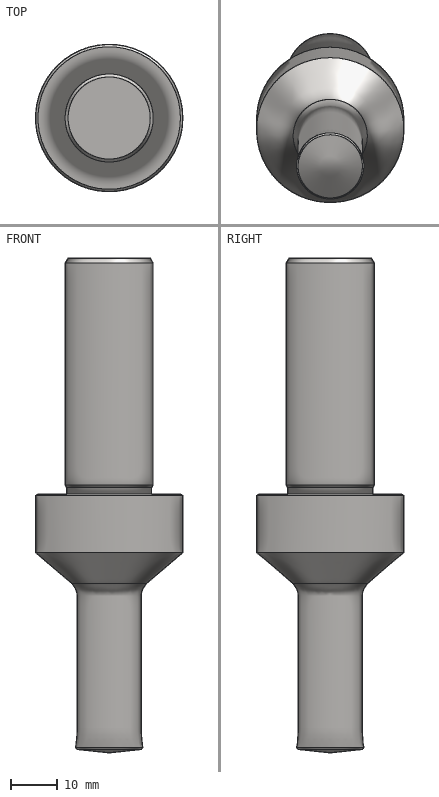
import cadquery as cq
import math

total_height = 106.5
tip_z = -total_height / 2

shank_radius = 9.5
shank_chamfer_width = 0.6
shank_chamfer_height = 1.1
undercut_radius = 9.2
undercut_height = 1.9
undercut_taper_height = 0.5
collar_radius = 15.9
collar_chamfer_width = 0.5
collar_chamfer_height = 0.3
collar_top_z = tip_z + 55.7
collar_height = 12.6
cone_height = 6.7
seat_radius = 8.0

rim_height = 0.6
stem_radius = 6.9
neck_start_radius = 7.6
neck_height = 1.9
flare_radius = 7.0
land_radius = 7.2
flare_height = 2.2
flare_top_z = tip_z + 5.3
land_height = 1.9
edge_bevel = 0.3
tip_height = 0.7

collar_bottom_z = collar_top_z - collar_height
seat_z = collar_bottom_z - cone_height


def blend_radius(step, height):
    """Radius of an arc, tangent to the axis direction, that steps sideways over a height."""
    return (step ** 2 + height ** 2) / (2 * step)


def arc_middle(base_radius, tangent_z, step, end_z):
    """Middle point of the concave arc that leaves a cylinder at tangent_z and ends at end_z."""
    height = end_z - tangent_z
    radius = blend_radius(step, abs(height))
    half_angle = math.asin(abs(height) / radius) / 2
    middle_z = tangent_z + math.copysign(radius * math.sin(half_angle), height)
    return base_radius + radius * (1 - math.cos(half_angle)), middle_z


def make_holder():
    top_z = tip_z + total_height
    shank_bottom_z = collar_top_z + undercut_height
    return (
        cq.Workplane("XZ")
        .moveTo(0, seat_z)
        .lineTo(seat_radius, seat_z)
        .lineTo(collar_radius, collar_bottom_z)
        .lineTo(collar_radius, collar_top_z - collar_chamfer_height)
        .lineTo(collar_radius - collar_chamfer_width, collar_top_z)
        .lineTo(undercut_radius, collar_top_z)
        .lineTo(undercut_radius, shank_bottom_z - undercut_taper_height)
        .lineTo(shank_radius, shank_bottom_z)
        .lineTo(shank_radius, top_z - shank_chamfer_height)
        .lineTo(shank_radius - shank_chamfer_width, top_z)
        .lineTo(0, top_z)
        .close()
        .revolve(360, (0, 0, 0), (0, 1, 0))
    )


def make_cutter():
    neck_top_z = seat_z - rim_height
    neck_bottom_z = neck_top_z - neck_height
    flare_bottom_z = flare_top_z - flare_height
    land_bottom_z = flare_bottom_z - land_height
    neck_middle = arc_middle(stem_radius, neck_bottom_z, neck_start_radius - stem_radius, neck_top_z)
    flare_middle = arc_middle(stem_radius, flare_top_z, flare_radius - stem_radius, flare_bottom_z)
    return (
        cq.Workplane("XZ")
        .moveTo(0, seat_z)
        .lineTo(seat_radius, seat_z)
        .lineTo(neck_start_radius, neck_top_z)
        .threePointArc(neck_middle, (stem_radius, neck_bottom_z))
        .lineTo(stem_radius, flare_top_z)
        .threePointArc(flare_middle, (flare_radius, flare_bottom_z))
        .lineTo(land_radius, land_bottom_z)
        .lineTo(land_radius - edge_bevel, tip_z + tip_height)
        .lineTo(0, tip_z)
        .close()
        .revolve(360, (0, 0, 0), (0, 1, 0))
    )


holder = make_holder()
cutter = make_cutter()
result = cq.Compound.makeCompound([holder.val(), cutter.val()])